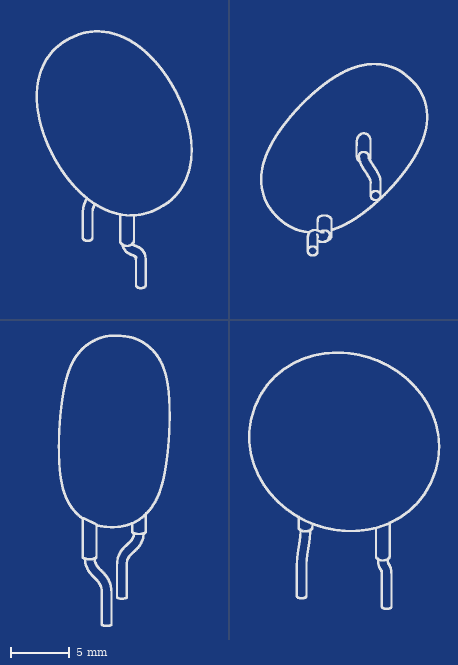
import cadquery as cq

body_diameter = 16.5
body_thickness = 8.0
rim_band_width = 0.4
body_round = (body_thickness - rim_band_width) / 2

overall_height = 24.5
lead_spacing = 7.5
lead_offset = 1.5
sleeve_diameter = 1.2
sleeve_end_round = 0.07
wire_diameter = 0.85
tail_length = 3.0
bend_height = 3.0

wire_bottom = body_diameter / 2 - overall_height
tail_top = wire_bottom + tail_length
sleeve_bottom = tail_top + bend_height


def make_body():
    disc = (
        cq.Workplane("XZ", origin=(0, body_thickness / 2, 0))
        .circle(body_diameter / 2)
        .extrude(body_thickness)
    )
    return disc.edges().fillet(body_round)


def make_bend_path(x, side):
    """Smooth S-bend that leaves the sleeve and meets the tail vertically."""
    return cq.Workplane("YZ", origin=(x, 0, 0)).spline(
        [(side * lead_offset, sleeve_bottom), (0, tail_top)],
        tangents=[(0, -1), (0, -1)],
    )


def make_lead(x, side):
    """One lead; side is +1 or -1 for a sleeve on the +Y or -Y side."""
    sleeve_base = cq.Workplane("XY", origin=(x, side * lead_offset, sleeve_bottom))
    sleeve = sleeve_base.circle(sleeve_diameter / 2).extrude(-sleeve_bottom)
    sleeve = sleeve.faces("<Z").edges().fillet(sleeve_end_round)
    bend = sleeve_base.circle(wire_diameter / 2).sweep(make_bend_path(x, side))
    tail = (
        cq.Workplane("XY", origin=(x, 0, wire_bottom))
        .circle(wire_diameter / 2)
        .extrude(tail_length)
    )
    return sleeve.union(bend).union(tail)


result = make_body()
for side in (1, -1):
    result = result.union(make_lead(-side * lead_spacing / 2, side))